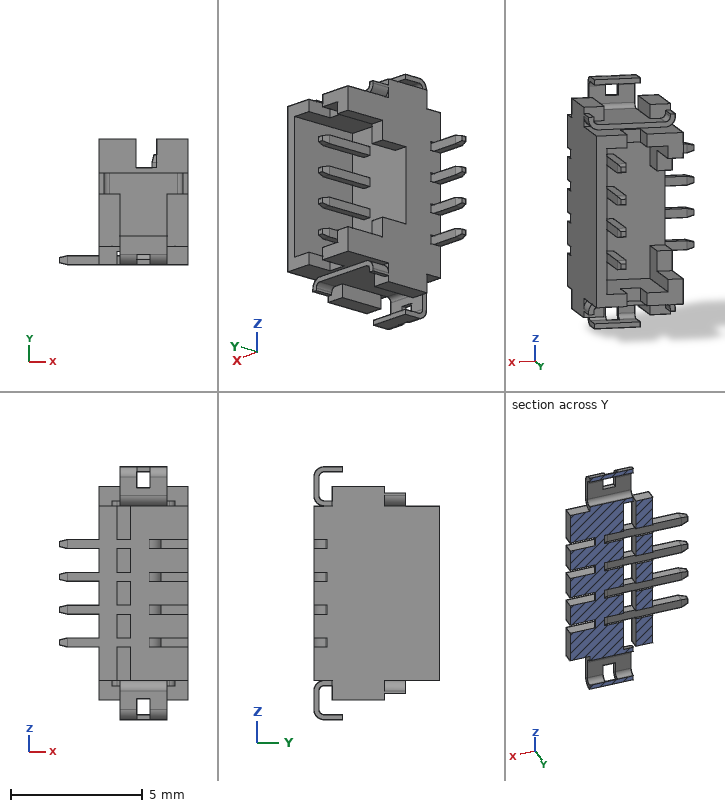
import cadquery as cq


PIN_COUNT = 4
PITCH = 1.25

BODY_WIDTH = 3.4
BODY_DEPTH = 4.8
ROW_LENGTH = (PIN_COUNT - 1) * PITCH
END_MARGIN = 1.45
BODY_HALF = ROW_LENGTH / 2 + END_MARGIN

FRONT_WALL = 0.6
BACK_WALL = 0.4
END_WALL = 0.5
CAVITY_FLOOR = 1.8
WINDOW_STEP = 3.0
WINDOW_NARROW_HALF = 1.55
WINDOW_WIDE_HALF = 2.34
KEYWAY_START = 1.425
KEYWAY_END = 2.2
KEYWAY_FLOOR = 3.7

GROOVE_START = 0.7
GROOVE_WIDTH = 0.5
GROOVE_DEPTH = 0.5

PIN_SIZE = 0.35
PIN_TIP_SIZE = 0.2
PIN_TAPER = 0.3
PIN_TAIL = 1.5
PIN_CENTRE = 2.2
PIN_TOP = 4.2
PIN_BEND_INNER = 0.2
PIN_BEND_OUTER = 0.45

EAR_HEIGHT = 0.75
EAR_START = 0.7
EAR_END = 2.7

STRIP = 0.2
BEND_INNER = 0.2
BEND_OUTER = BEND_INNER + STRIP
CLIP_WIDTH = 1.8
CLIP_HEIGHT = 1.5
CLIP_LIP = 1.1
CLIP_LEFT = (BODY_WIDTH - CLIP_WIDTH) / 2
PLATE_WIDTH = 2.4
PLATE_CORNER = 0.2
PLATE_START = 1.1
PLATE_END = 3.5
PLATE_LEFT = (BODY_WIDTH - PLATE_WIDTH) / 2
WING_HEIGHT = 0.5
HOLE_WIDTH = 0.5
HOLE_LENGTH = 0.8
HOLE_BASE = CLIP_HEIGHT - HOLE_LENGTH


def block(x0, x1, y0, y1, z0, z1):
    """Box between the given limits."""
    return cq.Workplane("XY").box(x1 - x0, y1 - y0, z1 - z0, centered=False).translate((x0, y0, z0))


def pin_heights():
    """Z of every pin."""
    return [i * PITCH - ROW_LENGTH / 2 for i in range(PIN_COUNT)]


def mirrored_pair(shape):
    """The shape together with its mirror image about Z = 0."""
    return shape.union(shape.mirror("XY"))


def housing():
    """Shell with a stepped front opening, end keyways and grooved mounting face."""
    half = BODY_HALF
    inner_half = half - END_WALL
    cavity_end = BODY_WIDTH - BACK_WALL
    groove_end = GROOVE_START + GROOVE_WIDTH
    narrow, wide = WINDOW_NARROW_HALF, WINDOW_WIDE_HALF
    body = block(0, BODY_WIDTH, 0, BODY_DEPTH, -half, half)
    body = body.cut(block(FRONT_WALL, cavity_end, CAVITY_FLOOR, BODY_DEPTH, -inner_half, inner_half))
    body = body.cut(block(0, FRONT_WALL, CAVITY_FLOOR, BODY_DEPTH, -narrow, narrow))
    body = body.cut(block(0, FRONT_WALL, WINDOW_STEP, BODY_DEPTH, -wide, wide))
    body = body.cut(block(KEYWAY_START, KEYWAY_END, KEYWAY_FLOOR, BODY_DEPTH, -half, half))
    body = body.cut(block(GROOVE_START, groove_end, 0, GROOVE_DEPTH, -half, half))
    for z in pin_heights():
        body = body.cut(block(0, BODY_WIDTH, 0, GROOVE_DEPTH, z - PIN_SIZE / 2, z + PIN_SIZE / 2))
    return body


def pin_tip(plane):
    """Square tip that tapers along the normal of the plane it stands on."""
    return (
        cq.Workplane(plane)
        .rect(PIN_SIZE, PIN_SIZE)
        .workplane(offset=PIN_TAPER)
        .rect(PIN_TIP_SIZE, PIN_TIP_SIZE)
        .loft(ruled=True)
    )


def pin():
    """L-shaped square pin centred on Z = 0, with tapered ends."""
    tail_start = PIN_TAPER - PIN_TAIL
    leg_left = PIN_CENTRE - PIN_SIZE / 2
    leg_right = PIN_CENTRE + PIN_SIZE / 2
    leg_top = PIN_TOP - PIN_TAPER
    bar = (
        cq.Workplane("XY", origin=(0, 0, -PIN_SIZE / 2))
        .moveTo(tail_start, 0)
        .lineTo(leg_right - PIN_BEND_OUTER, 0)
        .radiusArc((leg_right, PIN_BEND_OUTER), -PIN_BEND_OUTER)
        .lineTo(leg_right, leg_top)
        .lineTo(leg_left, leg_top)
        .lineTo(leg_left, PIN_SIZE + PIN_BEND_INNER)
        .radiusArc((leg_left - PIN_BEND_INNER, PIN_SIZE), PIN_BEND_INNER)
        .lineTo(tail_start, PIN_SIZE)
        .close()
        .extrude(PIN_SIZE)
    )
    tail_plane = cq.Plane((tail_start, PIN_SIZE / 2, 0), xDir=(0, 1, 0), normal=(-1, 0, 0))
    leg_plane = cq.Plane((PIN_CENTRE, leg_top, 0), xDir=(1, 0, 0), normal=(0, 1, 0))
    return bar.union(pin_tip(tail_plane)).union(pin_tip(leg_plane))


def ears():
    """Two retaining blocks on the upper end, slotted to take the clip plate."""
    top = BODY_HALF + EAR_HEIGHT
    plate_right = BODY_WIDTH - PLATE_LEFT
    clip_right = BODY_WIDTH - CLIP_LEFT
    pair = block(0, BODY_WIDTH, EAR_START, EAR_END, BODY_HALF, top)
    pair = pair.cut(block(CLIP_LEFT, clip_right, EAR_START, EAR_END, BODY_HALF, top))
    return pair.cut(block(PLATE_LEFT, plate_right, EAR_START, EAR_END, BODY_HALF, BODY_HALF + STRIP))


def clip_hook():
    """C-shaped solder tail with a hole through its outer bend."""
    base = BODY_HALF
    top = base + CLIP_HEIGHT
    hook = (
        cq.Workplane("YZ", origin=(CLIP_LEFT, 0, 0))
        .moveTo(PLATE_START, base)
        .lineTo(BEND_OUTER, base)
        .radiusArc((0, base + BEND_OUTER), BEND_OUTER)
        .lineTo(0, top - BEND_OUTER)
        .radiusArc((BEND_OUTER, top), BEND_OUTER)
        .lineTo(CLIP_LIP, top)
        .lineTo(CLIP_LIP, top - STRIP)
        .lineTo(BEND_OUTER, top - STRIP)
        .radiusArc((STRIP, top - BEND_OUTER), -BEND_INNER)
        .lineTo(STRIP, base + BEND_OUTER)
        .radiusArc((BEND_OUTER, base + STRIP), -BEND_INNER)
        .lineTo(PLATE_START, base + STRIP)
        .close()
        .extrude(CLIP_WIDTH)
    )
    hole_left = (BODY_WIDTH - HOLE_WIDTH) / 2
    return hook.cut(block(hole_left, hole_left + HOLE_WIDTH, 0, BEND_OUTER, base + HOLE_BASE, top))


def clip_plate():
    """Flat plate held in the ear slots, its leading corners rounded."""
    plate_right = BODY_WIDTH - PLATE_LEFT
    plate = block(PLATE_LEFT, plate_right, PLATE_START, PLATE_END, BODY_HALF, BODY_HALF + STRIP)
    return plate.edges("|Z and <Y").fillet(PLATE_CORNER)


def clip_wings():
    """Channel behind the ears whose two sides curl away from the housing."""
    base = BODY_HALF
    top = base + WING_HEIGHT
    right = BODY_WIDTH
    return (
        cq.Workplane("XZ", origin=(0, PLATE_END, 0))
        .moveTo(BEND_OUTER, base)
        .lineTo(right - BEND_OUTER, base)
        .radiusArc((right, base + BEND_OUTER), -BEND_OUTER)
        .lineTo(right, top)
        .lineTo(right - STRIP, top)
        .lineTo(right - STRIP, base + BEND_OUTER)
        .radiusArc((right - BEND_OUTER, base + STRIP), BEND_INNER)
        .lineTo(BEND_OUTER, base + STRIP)
        .radiusArc((STRIP, base + BEND_OUTER), BEND_INNER)
        .lineTo(STRIP, top)
        .lineTo(0, top)
        .lineTo(0, base + BEND_OUTER)
        .radiusArc((BEND_OUTER, base), -BEND_OUTER)
        .close()
        .extrude(PLATE_END - EAR_END)
    )


end_fittings = ears().union(clip_hook()).union(clip_plate()).union(clip_wings())

result = housing().union(mirrored_pair(end_fittings))
for pin_z in pin_heights():
    result = result.union(pin().translate((0, 0, pin_z)))